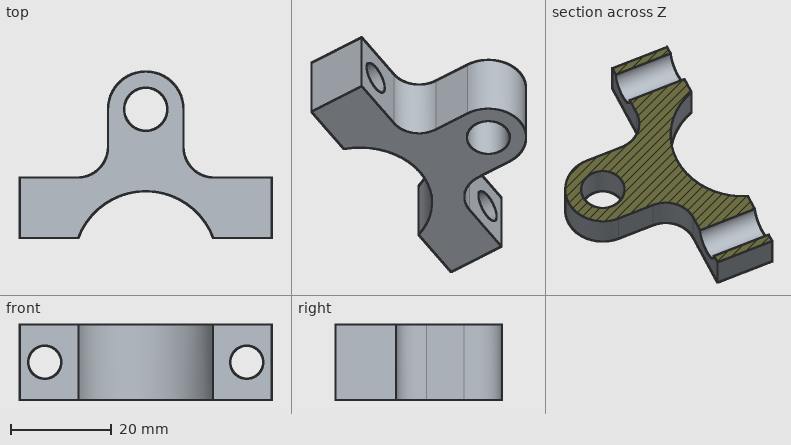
import cadquery as cq

bar_length = 50.0
bar_depth = 12.0
thickness = 15.0

overall_depth = 33.0
lug_radius = 7.5
lug_center_y = overall_depth - lug_radius
lug_hole_diameter = 8.5
root_fillet_radius = 6.0

bore_radius = 14.25
bore_setback = 5.0

bolt_hole_diameter = 6.5
bolt_spacing = 40.0


def vertical_cylinder(radius, center_y):
    """Full-thickness cylinder on the X = 0 plane of symmetry."""
    return cq.Workplane("XY").center(0, center_y).circle(radius).extrude(thickness)


def make_body():
    """Bar and round-ended lug, with filleted corners where they meet."""
    half_bar = bar_length / 2
    body = (
        cq.Workplane("XY")
        .moveTo(-half_bar, 0)
        .lineTo(half_bar, 0)
        .lineTo(half_bar, bar_depth)
        .lineTo(lug_radius, bar_depth)
        .lineTo(lug_radius, lug_center_y)
        .threePointArc((0, overall_depth), (-lug_radius, lug_center_y))
        .lineTo(-lug_radius, bar_depth)
        .lineTo(-half_bar, bar_depth)
        .close()
        .extrude(thickness)
    )
    for side in (-1, 1):
        root_corner = (side * lug_radius, bar_depth, thickness / 2)
        root_edge = cq.selectors.NearestToPointSelector(root_corner)
        body = body.edges("|Z").edges(root_edge).fillet(root_fillet_radius)
    return body


def make_bolt_holes():
    """Pair of cutters passing through the bar along Y."""
    half_spacing = bolt_spacing / 2
    mid_height = thickness / 2
    return (
        cq.Workplane("XZ")
        .pushPoints([(-half_spacing, mid_height), (half_spacing, mid_height)])
        .circle(bolt_hole_diameter / 2)
        .extrude(-bar_depth)
    )


clamp_bore = vertical_cylinder(bore_radius, -bore_setback)
lug_hole = vertical_cylinder(lug_hole_diameter / 2, lug_center_y)

result = make_body().cut(clamp_bore).cut(lug_hole).cut(make_bolt_holes())